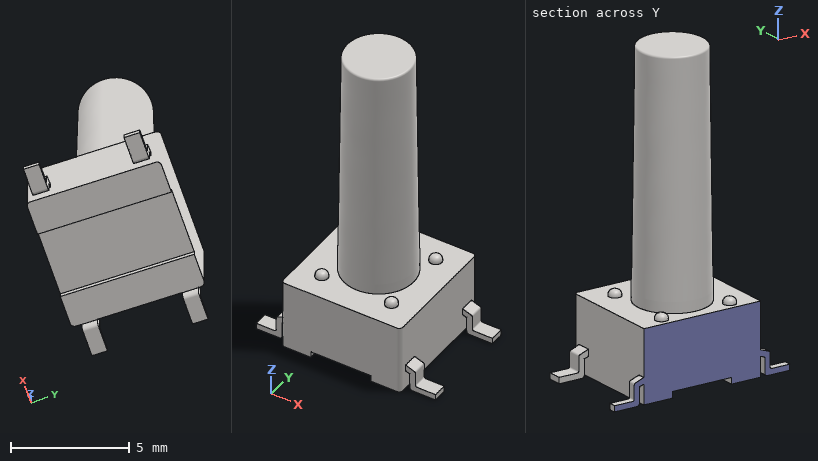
import cadquery as cq
import math

total_height = 15
housing_side = 6
housing_height = 3.46
housing_corner_radius = 0.2
channel_width = 3
channel_depth = 0.3

collar_diameter = 3.5
collar_height = 0.51
stem_top_diameter = 3.21
stem_top_fillet = 0.1

rivet_diameter = 0.6
rivet_height = 0.3
rivet_fillet = 0.25
rivet_spacing = 3.5

terminal_span = 9
terminal_thickness = 0.3
terminal_width = 0.7
terminal_spacing = 4.5
terminal_post_span = 6.99
terminal_exit_height = 1.26
terminal_slope = math.radians(20)
terminal_embedment = 0.22
heel_radius = 0.15
shoulder_radius = 0.1
foot_radius = 0.08


def make_housing():
    block = (
        cq.Workplane("XY")
        .rect(housing_side, housing_side)
        .extrude(housing_height)
        .edges("|Z")
        .fillet(housing_corner_radius)
    )
    channel = cq.Workplane("XY").box(
        channel_width, housing_side, channel_depth, centered=(True, True, False)
    )
    return block.cut(channel)


def make_actuator():
    collar_radius = collar_diameter / 2
    collar_top = housing_height + collar_height
    return (
        cq.Workplane("XZ")
        .moveTo(0, housing_height)
        .lineTo(collar_radius, housing_height)
        .lineTo(collar_radius, collar_top)
        .lineTo(stem_top_diameter / 2, total_height)
        .lineTo(0, total_height)
        .close()
        .revolve(360, (0, 0, 0), (0, 1, 0))
        .faces(">Z")
        .edges()
        .fillet(stem_top_fillet)
    )


def make_rivets():
    return (
        cq.Workplane("XY")
        .workplane(offset=housing_height)
        .rect(rivet_spacing, rivet_spacing, forConstruction=True)
        .vertices()
        .circle(rivet_diameter / 2)
        .extrude(rivet_height)
        .faces(">Z")
        .edges()
        .fillet(rivet_fillet)
    )


def make_terminal(y_center):
    """Terminal on the +X side: flat foot, upright post and sloped arm entering the housing."""
    toe_x = terminal_span / 2
    outer_x = terminal_post_span / 2
    inner_x = outer_x - terminal_thickness
    root_x = housing_side / 2 - terminal_embedment
    arm_depth = terminal_thickness / math.cos(terminal_slope)

    def arm_top(x):
        return terminal_exit_height - (x - housing_side / 2) * math.tan(terminal_slope)

    def arm_bottom(x):
        return arm_top(x) - arm_depth

    bar = (
        cq.Workplane("XZ", origin=(0, y_center, 0))
        .moveTo(toe_x, 0)
        .lineTo(toe_x, terminal_thickness)
        .lineTo(outer_x, terminal_thickness)
        .lineTo(outer_x, arm_top(outer_x))
        .lineTo(root_x, arm_top(root_x))
        .lineTo(root_x, arm_bottom(root_x))
        .lineTo(inner_x, arm_bottom(inner_x))
        .lineTo(inner_x, 0)
        .close()
        .extrude(terminal_width / 2, both=True)
    )

    def round_bend(body, x, z, radius):
        bend = cq.selectors.NearestToPointSelector((x, y_center, z))
        return body.edges("|Y").edges(bend).fillet(radius)

    bar = round_bend(bar, inner_x, 0, heel_radius)
    bar = round_bend(bar, outer_x, arm_top(outer_x), shoulder_radius)
    return round_bend(bar, outer_x, terminal_thickness, foot_radius)


result = make_housing().union(make_actuator()).union(make_rivets())
for side in (-1, 1):
    terminal = make_terminal(side * terminal_spacing / 2)
    result = result.union(terminal).union(terminal.mirror("YZ"))